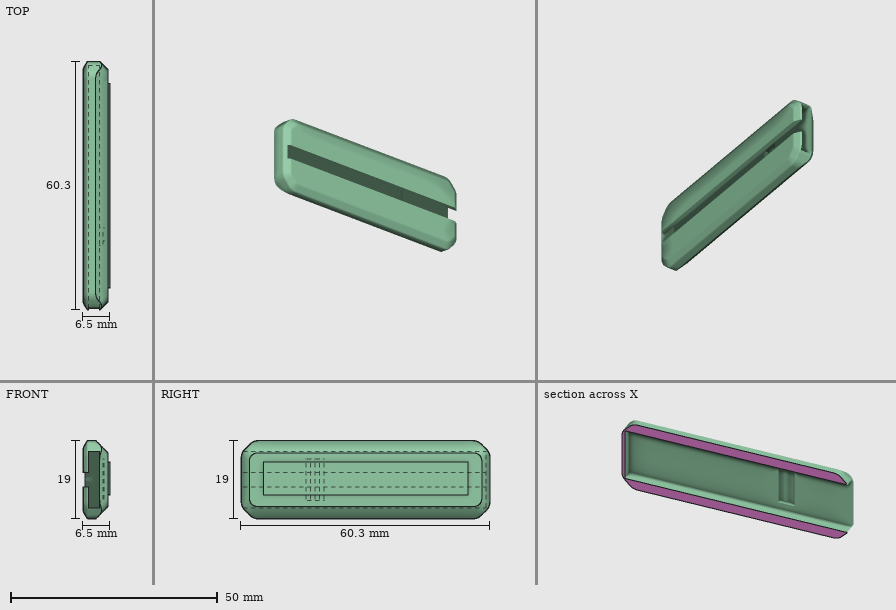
import cadquery as cq
import math

LENGTH = 60.25
HEIGHT = 19.0
THICKNESS = 6.0

CORNER_CUT = 3.0
CORNER_RADIUS = 3.0

SIDE_BEVEL = 3.0
END_BEVEL = 2.0

RIM_BEVEL_DEPTH = 1.0
RIM_BEVEL_WIDTH = RIM_BEVEL_DEPTH * math.sqrt(3)
RIM_FACE_RADIUS = 1.0
RIM_SIDE_RADIUS = 0.5

FRONT_WALL = 1.3
BACK_WALL = 2.0
END_WALL = 1.0
CAVITY_HEIGHT = 13.7

SLOT_HEIGHT = 3.5

STEP_PITCH = 1.09
STEP_COUNT = 4
RECESS_TOP_Y = -10.1
RECESS_HEIGHT = 10.0
SHALLOW_DEPTH = 0.75
DEEP_DEPTH = 1.0

PANEL_LENGTH = 49.5
PANEL_HEIGHT = 7.9
PANEL_RISE = 0.5
PANEL_CENTER_Z = 0.3

PICK_MARGIN = 0.05

HALF_LENGTH = LENGTH / 2
CAVITY_BACK = THICKNESS - BACK_WALL
CAVITY_END = HALF_LENGTH - END_WALL


def block(x_range, y_range, z_range):
    """Axis-aligned block between the given limits."""
    lows, highs = zip(x_range, y_range, z_range)
    sizes = [high - low for low, high in zip(lows, highs)]
    return cq.Workplane("XY").box(*sizes, centered=False).translate(lows)


def centered(size):
    """Limits of a span centred on zero."""
    return (-size / 2, size / 2)


def outline_prism():
    """Outline with cut, rounded corners, bevelled around the -X face."""
    prism = (
        cq.Workplane("YZ")
        .rect(LENGTH, HEIGHT)
        .extrude(THICKNESS)
        .edges("|X")
        .chamfer(CORNER_CUT)
        .edges("|X")
        .fillet(CORNER_RADIUS)
    )
    prism = prism.faces("<X").chamfer(RIM_BEVEL_DEPTH, RIM_BEVEL_WIDTH)
    prism = prism.faces("<X").edges().fillet(RIM_FACE_RADIUS)
    side_edge = cq.selectors.BoxSelector(
        (RIM_BEVEL_DEPTH - PICK_MARGIN, -LENGTH, -HEIGHT),
        (RIM_BEVEL_DEPTH + PICK_MARGIN, LENGTH, HEIGHT),
    )
    return prism.edges(side_edge).fillet(RIM_SIDE_RADIUS)


def bevelled_block():
    """Block with bevels around +X and rounded mitres between them."""
    bevelled = (
        cq.Workplane("YZ")
        .rect(LENGTH, HEIGHT)
        .extrude(THICKNESS)
        .faces(">X")
        .edges("|Y")
        .chamfer(SIDE_BEVEL)
        .faces(">X")
        .edges("|Z")
        .chamfer(END_BEVEL)
    )
    mitres = bevelled.edges("not(#X or #Y or #Z)")
    return mitres.fillet(CORNER_RADIUS)


def cavity():
    return block(
        (FRONT_WALL, CAVITY_BACK), (-HALF_LENGTH, CAVITY_END), centered(CAVITY_HEIGHT)
    )


def slider_slot():
    return block((0, CAVITY_BACK), (-HALF_LENGTH, CAVITY_END), centered(SLOT_HEIGHT))


def stepped_recess():
    """Row of pockets in the back wall, alternately deep and shallow."""
    recess = cq.Workplane("XY")
    for index in range(STEP_COUNT):
        depth = DEEP_DEPTH if index % 2 == 0 else SHALLOW_DEPTH
        top = RECESS_TOP_Y - index * STEP_PITCH
        recess = recess.union(
            block(
                (CAVITY_BACK, CAVITY_BACK + depth),
                (top - STEP_PITCH, top),
                centered(RECESS_HEIGHT),
            )
        )
    return recess


def raised_panel():
    return block(
        (THICKNESS, THICKNESS + PANEL_RISE), centered(PANEL_LENGTH), centered(PANEL_HEIGHT)
    ).translate((0, 0, PANEL_CENTER_Z))


case = outline_prism().intersect(bevelled_block())
case = case.cut(cavity()).cut(slider_slot()).cut(stepped_recess())
result = case.union(raised_panel())